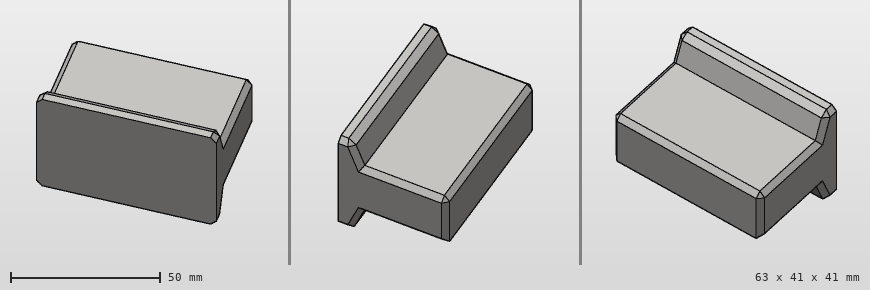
import cadquery as cq
import math

width = 63.0
depth = 41.0
height = 41.0

plate_rim_depth = 5.0
plate_root_depth = 9.0
plate_overhang = 10.0
chamfer_size = 2.0

body_bottom = plate_overhang
body_top = height - plate_overhang


def make_blank():
    """Side outline of plate and body, extruded along the full width."""
    outline = [
        (0, 0),
        (plate_rim_depth, 0),
        (plate_root_depth, body_bottom),
        (depth, body_bottom),
        (depth, body_top),
        (plate_root_depth, body_top),
        (plate_rim_depth, height),
        (0, height),
    ]
    return cq.Workplane("YZ").polyline(outline).close().extrude(width)


def chamfer_edges(blank):
    """Bevel both end outlines except at the front face, and the upper rear edge of the body."""
    end_edges = blank.faces("<X or >X").edges("not(<Y)")
    edge_middle = (width / 2, depth, body_top)
    body_top_edge = blank.edges(cq.selectors.NearestToPointSelector(edge_middle))
    return end_edges.add(body_top_edge).chamfer(chamfer_size)


def make_face(*points):
    """Flat face bounded by straight lines through the points."""
    vectors = [cq.Vector(*point) for point in points]
    return cq.Face.makeFromWires(cq.Wire.makePolygon(vectors, close=True))


def make_plate_top_waste():
    """Triangular bar along the plate's upper rear edge, ending in a point at each beveled corner."""
    back_run = plate_root_depth - plate_rim_depth
    back_length = math.hypot(back_run, plate_overhang)

    leg_y = chamfer_size * back_run / back_length
    leg_z = chamfer_size * plate_overhang / back_length

    tip_z = height - chamfer_size
    tip_y = plate_rim_depth + chamfer_size * (back_run - back_length) / plate_overhang

    def bar_end(x):
        on_top = (x, plate_rim_depth - chamfer_size, height)
        on_back = (x, plate_rim_depth + leg_y, height - leg_z)
        at_edge = (x, plate_rim_depth, height)
        return on_top, on_back, at_edge

    left = bar_end(chamfer_size)
    right = bar_end(width - chamfer_size)
    left_tip = (0, tip_y, tip_z)
    right_tip = (width, tip_y, tip_z)

    faces = []
    for i in range(3):
        j = (i + 1) % 3
        faces.append(make_face(left[i], left[j], right[j], right[i]))
        faces.append(make_face(left[i], left[j], left_tip))
        faces.append(make_face(right[i], right[j], right_tip))
    return cq.Solid.makeSolid(cq.Shell.makeShell(faces))


result = chamfer_edges(make_blank()).cut(cq.Workplane(make_plate_top_waste()))